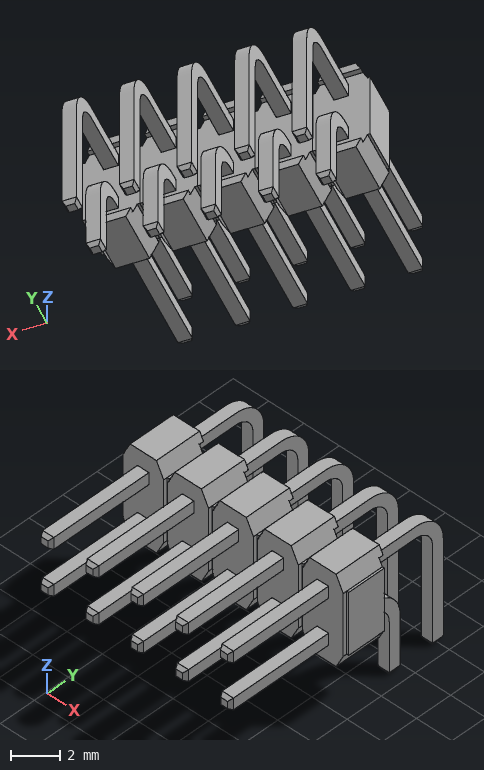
import cadquery as cq


MODULE_COUNT = 5
PITCH = 2.54

BLOCK_HEIGHT = 5.0
BLOCK_DEPTH = PITCH
FLANK_INSET = 0.11
CORNER_WIDTH = 0.41
CORNER_HEIGHT = 0.8

WEB_HEIGHT = BLOCK_HEIGHT - 2 * CORNER_HEIGHT
WEB_FRONT_SETBACK = 0.2

LIP_HEIGHT = 0.43
LIP_DEPTH = 0.24
RECESS_HEIGHT = BLOCK_HEIGHT - 2 * LIP_HEIGHT

PIN_WIDTH = 0.65
FRONT_REACH = 5.8
UPPER_BACK_REACH = 6.76
LOWER_BACK_REACH = UPPER_BACK_REACH - PITCH
ROW_HEIGHT = PITCH / 2
LEG_BOTTOM = -5.54
BEND_OUTER_RADIUS = 1.63
BEND_INNER_RADIUS = BEND_OUTER_RADIUS - PIN_WIDTH
TIP_LENGTH = 0.22
TIP_INSET = 0.13
TIP_WIDTH = PIN_WIDTH - 2 * TIP_INSET


def block():
    """Insulator of one module, centred on X = 0."""
    width = PITCH - 2 * FLANK_INSET
    side = width / 2
    crown = side - CORNER_WIDTH
    top = BLOCK_HEIGHT / 2
    shoulder = WEB_HEIGHT / 2
    octagon = [
        (crown, top),
        (side, shoulder),
        (side, -shoulder),
        (crown, -top),
        (-crown, -top),
        (-side, -shoulder),
        (-side, shoulder),
        (-crown, top),
    ]
    body = cq.Workplane("XZ").polyline(octagon).close().extrude(-BLOCK_DEPTH)

    web_depth = BLOCK_DEPTH - WEB_FRONT_SETBACK
    web = (
        cq.Workplane("XZ", origin=(0, WEB_FRONT_SETBACK, 0))
        .rect(PITCH, WEB_HEIGHT)
        .extrude(-web_depth)
    )
    recess = (
        cq.Workplane("XZ", origin=(0, BLOCK_DEPTH - LIP_DEPTH, 0))
        .rect(PITCH, RECESS_HEIGHT)
        .extrude(-LIP_DEPTH)
    )
    return body.union(web).cut(recess)


def tip(plane):
    """Tapered pin end that grows from the origin of the plane along its normal."""
    return (
        cq.Workplane(plane)
        .rect(PIN_WIDTH, PIN_WIDTH)
        .workplane(offset=TIP_LENGTH)
        .rect(TIP_WIDTH, TIP_WIDTH)
        .loft(ruled=True)
    )


def pin(row_z, back_y):
    """Right-angle pin with its horizontal axis at row_z and the back of its leg at back_y."""
    shank_front = TIP_LENGTH - FRONT_REACH
    shank_top = row_z + PIN_WIDTH / 2
    shank_bottom = row_z - PIN_WIDTH / 2
    leg_front = back_y - PIN_WIDTH
    leg_end = LEG_BOTTOM + TIP_LENGTH
    bend_y = back_y - BEND_OUTER_RADIUS
    bend_z = shank_top - BEND_OUTER_RADIUS

    shank = (
        cq.Workplane("YZ", origin=(-PIN_WIDTH / 2, 0, 0))
        .moveTo(shank_front, shank_top)
        .lineTo(bend_y, shank_top)
        .radiusArc((back_y, bend_z), BEND_OUTER_RADIUS)
        .lineTo(back_y, leg_end)
        .lineTo(leg_front, leg_end)
        .lineTo(leg_front, bend_z)
        .radiusArc((bend_y, shank_bottom), -BEND_INNER_RADIUS)
        .lineTo(shank_front, shank_bottom)
        .close()
        .extrude(PIN_WIDTH)
    )
    mating_tip = tip(cq.Plane(origin=(0, shank_front, row_z), xDir=(1, 0, 0), normal=(0, -1, 0)))
    leg_y = back_y - PIN_WIDTH / 2
    leg_tip = tip(cq.Plane(origin=(0, leg_y, leg_end), xDir=(1, 0, 0), normal=(0, 0, -1)))
    return shank.union(mating_tip).union(leg_tip)


def header_module(centre_x):
    """One complete module: the block fused with its two pins."""
    upper_pin = pin(ROW_HEIGHT, UPPER_BACK_REACH)
    lower_pin = pin(-ROW_HEIGHT, LOWER_BACK_REACH)
    module = block().union(upper_pin).union(lower_pin)
    return module.translate((centre_x, 0, 0))


first_x = -PITCH * (MODULE_COUNT - 1) / 2
header_modules = [header_module(first_x + PITCH * index) for index in range(MODULE_COUNT)]

result = cq.Compound.makeCompound([module.val() for module in header_modules])